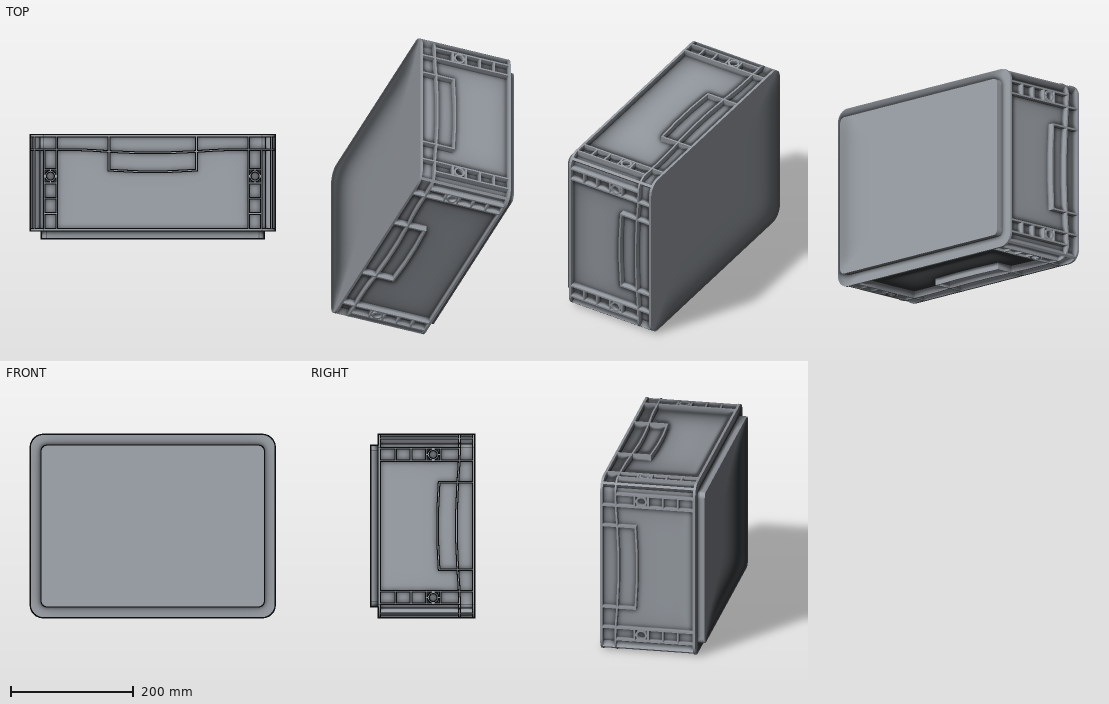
import cadquery as cq
import math


length_x = 399.0
depth_y = 170.0
height_z = 299.0
corner_radius = 21.5

base_depth = 12.5
base_inset = 18.0
base_radius = 8.8

rib_depth = 11.0
flange = 4.0
rib = 2.8
corner_rib = 4.5

rim_y = depth_y / 2
body_back_y = -depth_y / 2 + base_depth
body_depth = rim_y - body_back_y

post_outer = corner_radius + rib / 2
post_inner = 43.0
cross_pitch = 24.7
cross_count = 3
boss_rib_drop = 56.5

boss_diameter = 18.5
hole_diameter = 12.8

wave_drop = 25.0
wave_dip = 5.0
wave_start = 131.5
wave_join = 85.5

handle_half = 71.0
handle_drop = 58.3
handle_sag = 2.8

wave_y = rim_y - wave_drop
handle_end_y = rim_y - handle_drop
boss_rib_y = rim_y - boss_rib_drop
post_centre = (post_outer + post_inner) / 2
last_cross_y = body_back_y + flange + cross_pitch
cross_ribs_y = [last_cross_y + i * cross_pitch for i in range(cross_count)] + [boss_rib_y]
boss_y = (cross_ribs_y[-2] + boss_rib_y) / 2


def rounded_plate(size_x, size_z, radius, start_y, thickness):
    """Plate with rounded corners in XZ, growing towards +Y from start_y."""
    plate = cq.Workplane("XY").box(size_x, thickness, size_z)
    return plate.edges("|Y").fillet(radius).translate((0, start_y + thickness / 2, 0))


def bar(x_from, x_to, y_from, y_to):
    """Upright rib on the local side plane, one rib depth tall."""
    return (
        cq.Workplane("XY")
        .box(x_to - x_from, y_to - y_from, rib_depth, centered=False)
        .translate((x_from, y_from, 0))
    )


def wave_edge(outline, shift, direction):
    """Add the wavy edge to an outline, running towards +X (direction 1) or -X (direction -1)."""
    slope = 2 * wave_dip / wave_start
    join_drop = slope * (wave_start - wave_join) / 2
    mid_drop = join_drop / 4
    mid_arc = (wave_start + wave_join) / 2
    base = wave_y + shift
    return (
        outline.lineTo(-direction * wave_start, base)
        .threePointArc(
            (-direction * mid_arc, base - mid_drop),
            (-direction * wave_join, base - join_drop),
        )
        .threePointArc((0, base - wave_dip), (direction * wave_join, base - join_drop))
        .threePointArc(
            (direction * mid_arc, base - mid_drop),
            (direction * wave_start, base),
        )
    )


def wave_rib(half_length):
    """Rib along the whole side that sags smoothly in the middle."""
    outline = cq.Workplane("XY").moveTo(-half_length, wave_y + rib / 2)
    outline = wave_edge(outline, rib / 2, 1)
    outline = outline.lineTo(half_length, wave_y + rib / 2).lineTo(half_length, wave_y - rib / 2)
    outline = wave_edge(outline, -rib / 2, -1)
    return outline.lineTo(-half_length, wave_y - rib / 2).close().extrude(rib_depth)


def handle():
    """Two straight ribs from the rim, closed by a bowed rib."""
    outer = handle_half + rib / 2
    upper = handle_end_y + rib / 2
    lower = handle_end_y - rib / 2
    bow = (
        cq.Workplane("XY")
        .moveTo(-outer, upper)
        .threePointArc((0, upper - handle_sag), (outer, upper))
        .lineTo(outer, lower)
        .threePointArc((0, lower - handle_sag), (-outer, lower))
        .close()
        .extrude(rib_depth)
    )
    for centre in (-handle_half, handle_half):
        bow = bow.union(bar(centre - rib / 2, centre + rib / 2, handle_end_y, rim_y))
    return bow


def post(half_length, side):
    """Ladder of ribs with a drilled boss near one end of a side."""
    outer = side * (half_length - post_outer)
    inner = side * (half_length - post_inner)
    left, right = sorted((outer, inner))
    inner_rib = bar(inner - rib / 2, inner + rib / 2, body_back_y, rim_y)
    ladder = inner_rib.union(bar(outer - rib / 2, outer + rib / 2, body_back_y, wave_y))
    for y in cross_ribs_y:
        ladder = ladder.union(bar(left, right, y - rib / 2, y + rib / 2))
    boss_x = side * (half_length - post_centre)
    boss = cq.Workplane("XY").center(boss_x, boss_y).circle(boss_diameter / 2).extrude(rib_depth)
    web = bar(boss_x - rib / 2, boss_x + rib / 2, cross_ribs_y[-2], boss_rib_y)
    hole = cq.Workplane("XY").center(boss_x, boss_y).circle(hole_diameter / 2).extrude(rib_depth)
    return ladder.union(boss).union(web).cut(hole)


def side_ribs(side_length):
    """All ribs of one side, lying on XY with the rim towards +Y and the outside towards +Z."""
    half = side_length / 2
    ribs = wave_rib(half).union(handle())
    for side in (-1, 1):
        ribs = ribs.union(post(half, side))
    return ribs


def corner_ribs():
    """Diagonal rib at each of the four long corners, running out past the envelope."""
    reach = 2 * corner_radius
    ribs = cq.Workplane("XY")
    for side_x in (-1, 1):
        for side_z in (-1, 1):
            angle = -math.degrees(math.atan2(side_z, side_x))
            centre_x = side_x * (length_x / 2 - corner_radius)
            centre_z = side_z * (height_z / 2 - corner_radius)
            diagonal = (
                cq.Workplane("XY")
                .box(reach, body_depth, corner_rib)
                .translate((reach / 2, 0, 0))
                .rotate((0, 0, 0), (0, 1, 0), angle)
                .translate((centre_x, (rim_y + body_back_y) / 2, centre_z))
            )
            ribs = ribs.add(diagonal)
    return ribs.combine()


core = rounded_plate(
    length_x - 2 * rib_depth, height_z - 2 * rib_depth, corner_radius - rib_depth, body_back_y, body_depth
)
rim_flange = rounded_plate(length_x, height_z, corner_radius, rim_y - flange, flange)
base_flange = rounded_plate(length_x, height_z, corner_radius, body_back_y, flange)
base = rounded_plate(
    length_x - 2 * base_inset, height_z - 2 * base_inset, base_radius, body_back_y - base_depth, base_depth
)

top_ribs = side_ribs(length_x).translate((0, 0, height_z / 2 - rib_depth))
bottom_ribs = top_ribs.mirror("XY")

right_ribs = (
    side_ribs(height_z)
    .translate((0, 0, length_x / 2 - rib_depth))
    .rotate((0, 0, 0), (0, 1, 0), 90)
)
left_ribs = right_ribs.mirror("YZ")

ribs = corner_ribs()
for one_side in (top_ribs, bottom_ribs, right_ribs, left_ribs):
    ribs = ribs.union(one_side)

envelope = rounded_plate(length_x, height_z, corner_radius, body_back_y, body_depth)
result = core.union(ribs.intersect(envelope)).union(rim_flange).union(base_flange).union(base)